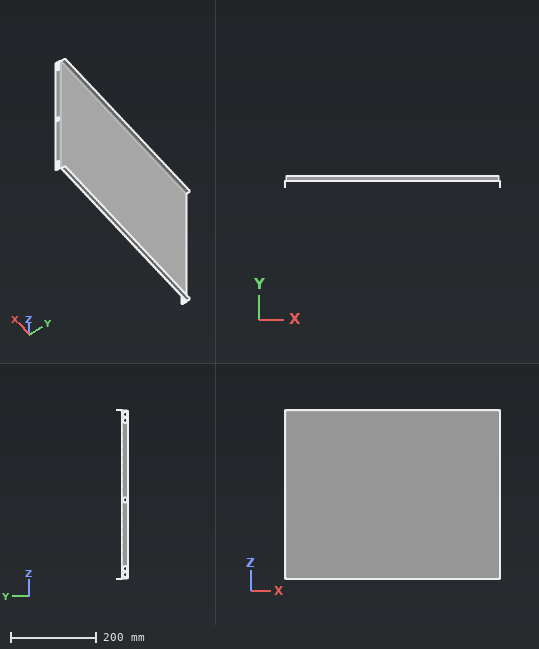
import cadquery as cq

width = 506.0
depth = 27.0
height = 398.0

thickness = 1.2
bend_inner_radius = 0.8
bend_outer_radius = bend_inner_radius + thickness

side_flange_depth = 15.5
side_flange_end_gap = 1.5
end_flange_depth = depth - side_flange_depth + thickness
end_flange_side_gap = 2.5
flange_corner_radius = 3.5

slot_width = 8.0
slot_length = 11.5
slot_from_tip = 7.0
outer_slot_from_end = 10.5
slot_pitch = 14.0
middle_slot_z = -12.5

panel_front_y = -thickness
side_flange_tip_y = -side_flange_depth
side_flange_height = height - 2 * side_flange_end_gap
end_flange_width = width - 2 * end_flange_side_gap


def box_between(x_range, y_range, z_range):
    """Box filling the given coordinate ranges."""
    size = [high - low for low, high in (x_range, y_range, z_range)]
    start = (x_range[0], y_range[0], z_range[0])
    return cq.Workplane("XY").box(*size, centered=False).translate(start)


def bent_channel(span, flange_depth, length):
    """Channel with web outside at Y = 0, legs toward -Y, extruded along Z about the origin."""
    outer = (
        cq.Workplane("XY")
        .rect(span, 2 * flange_depth)
        .extrude(length / 2, both=True)
        .edges("|Z and >Y").fillet(bend_outer_radius)
        .translate((0, -flange_depth, 0))
    )
    inner = (
        cq.Workplane("XY")
        .rect(span - 2 * thickness, 2 * flange_depth)
        .extrude(length / 2, both=True)
        .edges("|Z and >Y").fillet(bend_inner_radius)
        .translate((0, -flange_depth - thickness, 0))
    )
    half_span = span / 2
    half_length = length / 2
    kept = box_between((-half_span, half_span), (-flange_depth, 0), (-half_length, half_length))
    return outer.cut(inner).intersect(kept)


def side_channel():
    """Panel with its two side flanges folded toward -Y."""
    channel = bent_channel(width, side_flange_depth, side_flange_height)
    return channel.edges("|X and <Y").fillet(flange_corner_radius)


def end_channel():
    """Panel with its top and bottom flanges folded toward +Y."""
    channel = bent_channel(height, end_flange_depth, end_flange_width)
    channel = channel.edges("|X and <Y").fillet(flange_corner_radius)
    channel = channel.rotate((0, 0, 0), (0, 0, 1), 180)
    channel = channel.rotate((0, 0, 0), (0, 1, 0), 90)
    return channel.translate((0, panel_front_y, 0))


def trim_overlap(side_part, end_part):
    """Keep each channel's web clear of the other channel's bends, then join them."""
    web_half_width = width / 2 - bend_outer_radius
    web_half_height = height / 2 - bend_outer_radius
    trimmed = side_part
    for side in (-1, 1):
        end_strip = box_between(
            (-web_half_width, web_half_width),
            (panel_front_y, 0),
            tuple(sorted((side * web_half_height, side * height / 2))),
        )
        trimmed = trimmed.cut(end_strip)
    return trimmed.union(end_part)


def side_slots():
    """Cutters for the slots through both side flanges."""
    outer_z = height / 2 - outer_slot_from_end
    inner_z = outer_z - slot_pitch
    slot_y = side_flange_tip_y + slot_from_tip
    centers = [(slot_y, z) for z in (outer_z, inner_z, middle_slot_z, -inner_z, -outer_z)]
    return (
        cq.Workplane("YZ")
        .pushPoints(centers)
        .slot2D(slot_length, slot_width, 90)
        .extrude(width, both=True)
    )


result = trim_overlap(side_channel(), end_channel()).cut(side_slots())